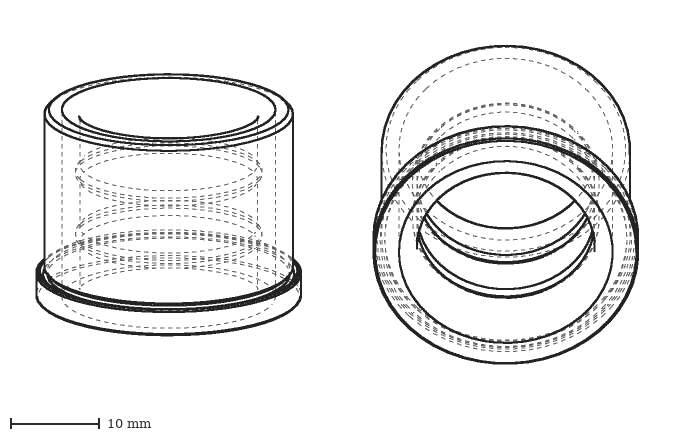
import cadquery as cq

height = 22.0
flange_diameter = 29.8
flange_height = 3.0
body_diameter = 27.95
liner_diameter = 24.02
bore_diameter = 20.0

flange_chamfer = 0.2
body_chamfer = 0.5
bore_fillet = 1.0

undercut_reach = 0.5
undercut_depth = 0.35

groove_count = 2
groove_depth = 0.5
groove_floor_width = 0.35
groove_mouth_width = 1.8

flange_radius = flange_diameter / 2
body_radius = body_diameter / 2
liner_radius = liner_diameter / 2
bore_radius = bore_diameter / 2


def revolve_profile(profile):
    """Revolve a closed profile, drawn as (radius, height), about the Z axis."""
    return profile.close().revolve(360, (0, 0, 0), (0, 1, 0))


def make_sleeve():
    """Flanged outer sleeve with an undercut above the flange."""
    neck_radius = body_radius - undercut_depth
    undercut_floor = flange_height - undercut_depth
    profile = (
        cq.Workplane("XZ")
        .moveTo(liner_radius, 0)
        .lineTo(flange_radius - flange_chamfer, 0)
        .lineTo(flange_radius, flange_chamfer)
        .lineTo(flange_radius, flange_height - flange_chamfer)
        .lineTo(flange_radius - flange_chamfer, flange_height)
        .lineTo(body_radius + undercut_reach, flange_height)
        .lineTo(body_radius + undercut_reach - undercut_depth, undercut_floor)
        .lineTo(neck_radius, undercut_floor)
        .lineTo(neck_radius, flange_height + undercut_reach - undercut_depth)
        .lineTo(body_radius, flange_height + undercut_reach)
        .lineTo(body_radius, height - body_chamfer)
        .lineTo(body_radius - body_chamfer, height)
        .lineTo(liner_radius, height)
    )
    return revolve_profile(profile)


def make_bore_groove(center_height):
    """Ring that cuts one trapezoidal groove into the bore wall."""
    floor_radius = bore_radius + groove_depth
    inner_radius = bore_radius - groove_depth
    half_mouth = groove_mouth_width / 2
    half_floor = groove_floor_width / 2
    profile = (
        cq.Workplane("XZ")
        .moveTo(inner_radius, center_height - half_mouth)
        .lineTo(bore_radius, center_height - half_mouth)
        .lineTo(floor_radius, center_height - half_floor)
        .lineTo(floor_radius, center_height + half_floor)
        .lineTo(bore_radius, center_height + half_mouth)
        .lineTo(inner_radius, center_height + half_mouth)
    )
    return revolve_profile(profile)


def make_liner():
    """Full-length bearing liner with rounded bore ends and evenly spaced grooves."""
    liner = (
        cq.Workplane("XY")
        .circle(liner_radius)
        .circle(bore_radius)
        .extrude(height)
    )
    bore_end_edges = cq.selectors.RadiusNthSelector(0)
    liner = liner.edges("%CIRCLE").edges(bore_end_edges).fillet(bore_fillet)
    groove_spacing = height / (groove_count + 1)
    for index in range(groove_count):
        liner = liner.cut(make_bore_groove((index + 1) * groove_spacing))
    return liner


sleeve = make_sleeve()
liner = make_liner()

result = cq.Compound.makeCompound([sleeve.val(), liner.val()])